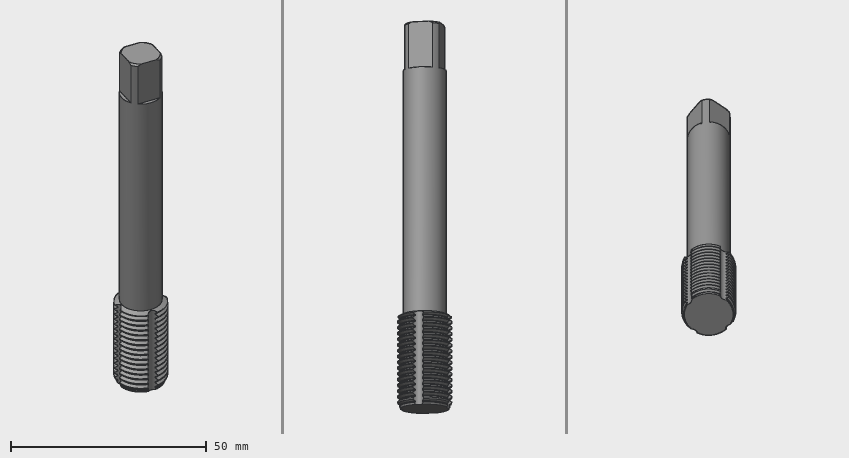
import cadquery as cq
import math

TOTAL_LENGTH = 100.0

SHANK_RADIUS = 5.5
SQUARE_WIDTH = 9.0
SQUARE_LENGTH = 12.0
SQUARE_CHAMFER = 0.5

HEAD_LENGTH = 24.5
CREST_RADIUS = 7.0
TOP_CONE_HEIGHT = 0.7
LEAD_HEIGHT = 1.8
LEAD_END_RADIUS = 6.2

PITCH = 1.5
GROOVE_DEPTH = 0.8
FIRST_GROOVE_Z = 0.8
GROOVE_COUNT = 16
CREST_FLAT = 0.2
ROOT_FLAT = 0.2

FLUTE_COUNT = 4
FLUTE_BOTTOM_RADIUS = 5.8
FLUTE_HALF_WIDTH = 1.4


def make_shank():
    """Round shank whose upper end is milled to a square with rounded corners."""
    shank = (
        cq.Workplane("XY", origin=(0, 0, HEAD_LENGTH))
        .circle(SHANK_RADIUS)
        .extrude(TOTAL_LENGTH - HEAD_LENGTH)
        .faces(">Z")
        .chamfer(SQUARE_CHAMFER)
    )
    square_base = TOTAL_LENGTH - SQUARE_LENGTH
    frame_width = 2 * CREST_RADIUS
    frame = (
        cq.Workplane("XY", origin=(0, 0, square_base))
        .rect(frame_width, frame_width)
        .rect(SQUARE_WIDTH, SQUARE_WIDTH)
        .extrude(SQUARE_LENGTH)
    )
    return shank.cut(frame)


def make_head_blank():
    """Plain turned head with a cone at the shank and a lead at the cutting end."""
    return (
        cq.Workplane("XZ")
        .moveTo(0, 0)
        .lineTo(LEAD_END_RADIUS, 0)
        .lineTo(CREST_RADIUS, LEAD_HEIGHT)
        .lineTo(CREST_RADIUS, HEAD_LENGTH - TOP_CONE_HEIGHT)
        .lineTo(SHANK_RADIUS, HEAD_LENGTH)
        .lineTo(0, HEAD_LENGTH)
        .close()
        .revolve(360, (0, 0, 0), (0, 1, 0))
    )


def make_groove(root_z):
    """Ring that cuts one thread groove, with its flat root centred at height root_z."""
    root_half_width = ROOT_FLAT / 2
    crest_half_width = (PITCH - CREST_FLAT) / 2
    root_radius = CREST_RADIUS - GROOVE_DEPTH
    outer_radius = CREST_RADIUS + GROOVE_DEPTH
    outer_half_width = 2 * crest_half_width - root_half_width
    return (
        cq.Workplane("XZ")
        .moveTo(root_radius, root_z - root_half_width)
        .lineTo(root_radius, root_z + root_half_width)
        .lineTo(outer_radius, root_z + outer_half_width)
        .lineTo(outer_radius, root_z - outer_half_width)
        .close()
        .revolve(360, (0, 0, 0), (0, 1, 0))
    )


def make_flute(angle):
    """Round-bottomed cutter along the whole head, at the given angle about Z."""
    crest_edge = math.sqrt(CREST_RADIUS**2 - FLUTE_HALF_WIDTH**2)
    depth = crest_edge - FLUTE_BOTTOM_RADIUS
    radius = (depth**2 + FLUTE_HALF_WIDTH**2) / (2 * depth)
    return (
        cq.Workplane("XY")
        .center(FLUTE_BOTTOM_RADIUS + radius, 0)
        .circle(radius)
        .extrude(HEAD_LENGTH)
        .rotate((0, 0, 0), (0, 0, 1), angle)
    )


def make_head():
    """Cutting head with thread grooves and flutes."""
    head = make_head_blank()
    for i in range(GROOVE_COUNT):
        head = head.cut(make_groove(FIRST_GROOVE_Z + i * PITCH))
    for i in range(FLUTE_COUNT):
        head = head.cut(make_flute(i * 360 / FLUTE_COUNT))
    return head


shank = make_shank()
head = make_head()
result = cq.Compound.makeCompound([shank.val(), head.val()])